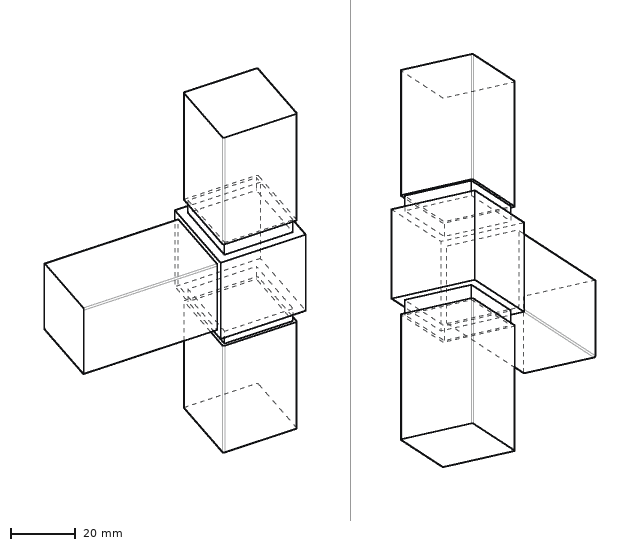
import cadquery as cq

total_height = 124.0
cube_side = 30.0
arm_side = 26.0
arm_edge_radius = 0.5
neck_side = 24.0
neck_length = 5.0

arm_reach = (total_height - cube_side) / 2
hub_half = cube_side / 2


def square_arm(length):
    """Square bar along +Z from the origin, with its long edges rounded."""
    bar = cq.Workplane("XY").rect(arm_side, arm_side).extrude(length)
    return bar.edges("|Z").fillet(arm_edge_radius)


def necked_arm():
    """Upper arm, joined to the hub by a narrower square neck."""
    neck = cq.Workplane("XY").workplane(offset=hub_half).rect(neck_side, neck_side).extrude(neck_length)
    bar = square_arm(arm_reach - neck_length).translate((0, 0, hub_half + neck_length))
    return neck.union(bar)


def branch_arm():
    """Side arm leaving the -Y face of the hub without a neck."""
    bar = square_arm(arm_reach).translate((0, 0, hub_half))
    return bar.rotate((0, 0, 0), (1, 0, 0), 90)


hub = cq.Workplane("XY").box(cube_side, cube_side, cube_side)
upper_arm = necked_arm()
lower_arm = upper_arm.mirror("XY")

result = hub.union(upper_arm).union(lower_arm).union(branch_arm())